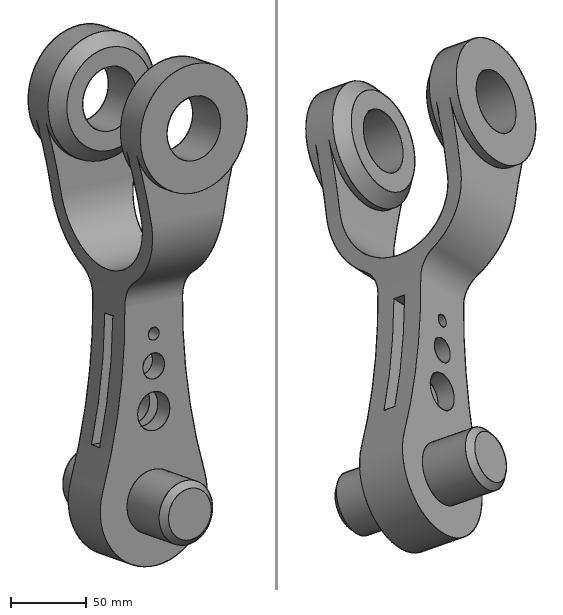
import cadquery as cq
import math

end_radius = 44.45
eye_height = 266.7
waist_arc_radius = 400.05

stem_width = 35.56
slot_width = 8.89
slot_bottom = 40.005
slot_length = 88.9
lightening_holes = [
    (62.23, 26.67),
    (93.345, 17.78),
    (115.57, 8.89),
]

fork_inner_radius = 44.45
fork_thickness = 11.1125
fork_drop = 62.23
fork_fillet_radius = 22.225

outer_width = 124.46
eye_thickness = 31.115
eye_chamfer = 8.89
eye_bore = 44.45

pin_diameter = 44.45
pin_length = 115.57
pin_chamfer = 4.445

stem_half = stem_width / 2
fork_outer_radius = fork_inner_radius + fork_thickness
fork_height = eye_height - fork_drop
flank_centre_distance = waist_arc_radius + end_radius
flank_tangent_z = end_radius * (eye_height / 2) / flank_centre_distance
arm_top = eye_height - flank_tangent_z


def cylinder_x(diameter, height, length):
    """Cylinder along X, centred on the YZ plane at the given height."""
    return cq.Workplane("YZ").center(0, height).circle(diameter / 2).extrude(length / 2, both=True)


def make_side_block():
    """Waisted side outline: two end circles joined by tangent concave arcs."""
    mid_height = eye_height / 2
    arc_centre_y = math.sqrt(flank_centre_distance**2 - mid_height**2)
    waist_half = arc_centre_y - waist_arc_radius
    tangent_y = end_radius * arc_centre_y / flank_centre_distance
    return (
        cq.Workplane("YZ")
        .moveTo(tangent_y, flank_tangent_z)
        .threePointArc((waist_half, mid_height), (tangent_y, arm_top))
        .threePointArc((0, eye_height + end_radius), (-tangent_y, arm_top))
        .threePointArc((-waist_half, mid_height), (-tangent_y, flank_tangent_z))
        .threePointArc((0, -end_radius), (tangent_y, flank_tangent_z))
        .close()
        .extrude(outer_width / 2, both=True)
    )


def make_front_block():
    """Y-shaped front outline: stem, blend fillets and U-shaped fork."""
    fillet_x = stem_half + fork_fillet_radius
    centre_distance = fork_outer_radius + fork_fillet_radius
    fillet_drop = math.sqrt(centre_distance**2 - fillet_x**2)
    fillet_z = fork_height - fillet_drop
    radius_ratio = fork_outer_radius / centre_distance
    tangent_x = fillet_x * radius_ratio
    tangent_z = fork_height - fillet_drop * radius_ratio

    tangent_angle = math.atan2(fillet_drop, fillet_x)
    fillet_mid_angle = math.pi - tangent_angle / 2
    fillet_mid_x = fillet_x + fork_fillet_radius * math.cos(fillet_mid_angle)
    fillet_mid_z = fillet_z + fork_fillet_radius * math.sin(fillet_mid_angle)
    fork_mid_x = fork_outer_radius * math.cos(tangent_angle / 2)
    fork_mid_z = fork_height - fork_outer_radius * math.sin(tangent_angle / 2)

    return (
        cq.Workplane("XZ")
        .moveTo(-stem_half, -end_radius)
        .lineTo(stem_half, -end_radius)
        .lineTo(stem_half, fillet_z)
        .threePointArc((fillet_mid_x, fillet_mid_z), (tangent_x, tangent_z))
        .threePointArc((fork_mid_x, fork_mid_z), (fork_outer_radius, fork_height))
        .lineTo(fork_outer_radius, arm_top)
        .lineTo(fork_inner_radius, arm_top)
        .lineTo(fork_inner_radius, fork_height)
        .threePointArc((0, fork_height - fork_inner_radius), (-fork_inner_radius, fork_height))
        .lineTo(-fork_inner_radius, arm_top)
        .lineTo(-fork_outer_radius, arm_top)
        .lineTo(-fork_outer_radius, fork_height)
        .threePointArc((-fork_mid_x, fork_mid_z), (-tangent_x, tangent_z))
        .threePointArc((-fillet_mid_x, fillet_mid_z), (-stem_half, fillet_z))
        .close()
        .extrude(end_radius, both=True)
    )


def make_eye(side):
    """Fork eye on the given X side (+1 or -1), chamfered on its inner face."""
    return (
        cq.Workplane("YZ", origin=(side * outer_width / 2, 0, eye_height))
        .circle(end_radius)
        .extrude(-side * eye_thickness)
        .faces("<X" if side > 0 else ">X")
        .chamfer(eye_chamfer)
    )


def make_pin():
    """Cross pin through the stem foot, chamfered at both ends."""
    return cylinder_x(pin_diameter, 0, pin_length).faces("<X or >X").chamfer(pin_chamfer)


def make_slot():
    """Rectangular slot through the stem along Y."""
    return (
        cq.Workplane("XY", origin=(0, 0, slot_bottom))
        .rect(slot_width, 2 * end_radius)
        .extrude(slot_length)
    )


body = make_front_block().intersect(make_side_block())
for eye_side in (-1, 1):
    body = body.union(make_eye(eye_side))
body = body.union(make_pin())
body = body.cut(cylinder_x(eye_bore, eye_height, outer_width))
body = body.cut(make_slot())
for hole_height, hole_diameter in lightening_holes:
    body = body.cut(cylinder_x(hole_diameter, hole_height, stem_width))

result = body